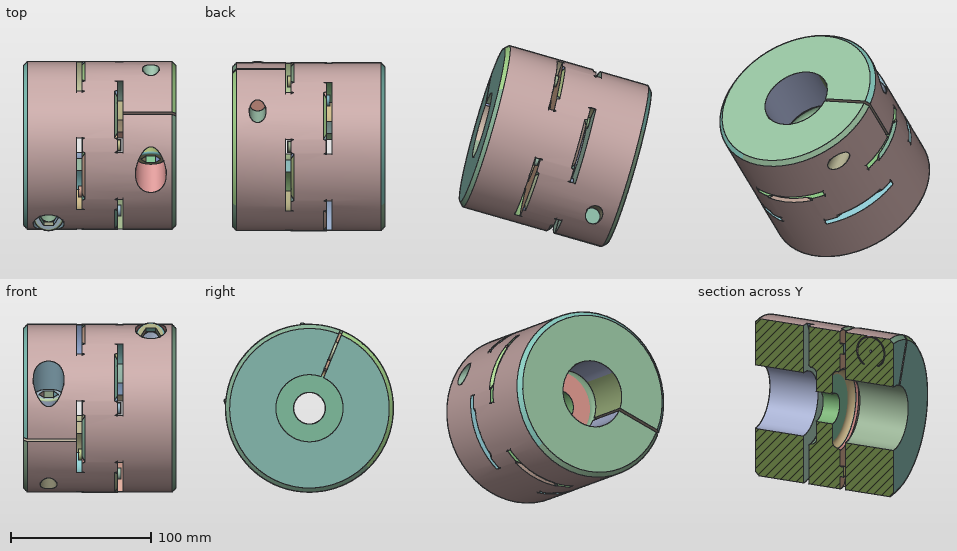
import cadquery as cq
import math


LENGTH = 109.0
RADIUS = 60.0
END_CHAMFER = 3.0
HUB_LENGTH = 38.0
HUB_BORE = 48.0
GAP = 4.0

DISC_BORE = 22.5
RECESS_DIAMETER = 58.0
RECESS_DEPTH = 6.0
RECESS_FILLET = 4.0
RECESS_CHAMFER = 1.5

PIN_DIAMETER = 8.0
PIN_HEIGHT = 2.6
PIN_CIRCLE_RADIUS = 46.6
PIN_PITCH = 90.0

LUG_PITCH = 90.0
LUG_INNER_RADIUS = 36.3
LUG_SEAT_DEPTH = 2.0
SCALLOP_RADIUS = 28.4
SCALLOP_CENTRE_RADIUS = PIN_CIRCLE_RADIUS

LAND_PITCH = 45.0
LAND_HALF_WIDTH = 4.1
LAND_FLANK_RUN = 1.7
LAND_TAPER = 12.0

SLIT_WIDTH = 2.0
SCREW_OFFSET = 44.0
SCREW_FROM_END = 18.0
SHANK_DIAMETER = 14.0
CLEARANCE_DIAMETER = 15.0
COUNTERBORE_DIAMETER = 22.0
HEAD_DIAMETER = 21.0
HEAD_HEIGHT = 14.0
HEAD_FILLET = 1.4
HEAD_SEAT = 15.0
SOCKET_FLATS = 12.0
SOCKET_CORNERS = SOCKET_FLATS / math.cos(math.radians(30))
SOCKET_DEPTH = 7.0
SOCKET_TIP_SLOPE = 30.0
TAP_DIAMETER = 12.0
SHANK_TIP = 25.0

LEFT_LUG_ANGLE = 22.5
RIGHT_LUG_ANGLE = 67.5
LEFT_PIN_ANGLE = 45.0
RIGHT_PIN_ANGLE = 0.0
LEFT_SLIT_ANGLE = -22.5
RIGHT_SLIT_ANGLE = 112.5

OUTER_SEAM_ANGLE = -135.0
BORE_SEAM_ANGLE = 45.0

LEFT_END = -LENGTH / 2
LEFT_HUB_FACE = LEFT_END + HUB_LENGTH
DISC_FACE = LEFT_HUB_FACE + GAP
CUT_REACH = 2 * RADIUS


def radial(angle):
    """Unit vector pointing outward at an angle around the axis."""
    turn = math.radians(angle)
    return cq.Vector(0, -math.cos(turn), math.sin(turn))


def section(x, angle=0.0):
    """Workplane across the axis at x; its local x points outward at the angle."""
    return cq.Workplane(cq.Plane((x, 0, 0), radial(angle), (-1, 0, 0)))


def other_end(body):
    """Mirror a body from the -X half to the +X half."""
    return body.mirror("YZ")


def repeated(start, pitch):
    """Angles around the full circle at an even pitch."""
    return [start + pitch * step for step in range(round(360 / pitch))]


def blank():
    """Solid chamfered cylinder bored from both ends, with a smaller bore through the middle."""
    body = section(LEFT_END, OUTER_SEAM_ANGLE).circle(RADIUS).extrude(-LENGTH)
    body = body.faces("<X or >X").chamfer(END_CHAMFER)
    bore = section(LEFT_END, BORE_SEAM_ANGLE).circle(HUB_BORE / 2).extrude(-(HUB_LENGTH + GAP))
    through = section(LEFT_END, BORE_SEAM_ANGLE).circle(DISC_BORE / 2).extrude(-LENGTH)
    return body.cut(bore).cut(other_end(bore)).cut(through)


def lugs(start):
    """Four lugs left between round scallops, reaching from the hub into the disc."""
    height = GAP + LUG_SEAT_DEPTH
    ring = section(LEFT_HUB_FACE).circle(CUT_REACH).circle(LUG_INNER_RADIUS).extrude(-height)
    for angle in repeated(start + LUG_PITCH / 2, LUG_PITCH):
        scallop = (
            section(LEFT_HUB_FACE, angle)
            .center(SCALLOP_CENTRE_RADIUS, 0)
            .circle(SCALLOP_RADIUS)
            .extrude(-height)
        )
        ring = ring.cut(scallop)
    return ring


def edge_bevel():
    """Ring that bevels the disc rim at 45 degrees, less the eight lands."""
    rim_radius = RADIUS - LUG_SEAT_DEPTH
    outer = RADIUS + LUG_SEAT_DEPTH
    bevel = (
        cq.Workplane("XY")
        .moveTo(DISC_FACE, rim_radius)
        .lineTo(DISC_FACE + LUG_SEAT_DEPTH, RADIUS)
        .lineTo(DISC_FACE + LUG_SEAT_DEPTH, outer)
        .lineTo(DISC_FACE, outer)
        .close()
        .revolve(360, (0, 0, 0), (1, 0, 0))
    )
    inner = rim_radius - LUG_SEAT_DEPTH
    inner_half = LAND_HALF_WIDTH + LAND_FLANK_RUN * (RADIUS - inner)
    outer_half = LAND_HALF_WIDTH - LAND_FLANK_RUN * (outer - RADIUS)
    for angle in repeated(0.0, LAND_PITCH):
        land = (
            section(DISC_FACE, angle)
            .polyline([(inner, -inner_half), (inner, inner_half), (outer, outer_half), (outer, -outer_half)])
            .close()
            .extrude(-LUG_SEAT_DEPTH, taper=-LAND_TAPER)
        )
        bevel = bevel.cut(land)
    return bevel


def disc_recess():
    """Round recess in the disc face with a rounded floor corner and bevelled mouth."""
    wall_radius = RECESS_DIAMETER / 2
    recess = section(DISC_FACE).circle(wall_radius).extrude(-RECESS_DEPTH)
    recess = recess.faces(">X").edges().fillet(RECESS_FILLET)
    mouth = section(DISC_FACE).circle(wall_radius + RECESS_CHAMFER).extrude(-RECESS_CHAMFER, taper=45)
    return recess.union(mouth)


def pins(start):
    """Four round pins standing on the disc face."""
    group = cq.Workplane("XY")
    for angle in repeated(start, PIN_PITCH):
        pin = section(DISC_FACE, angle).center(PIN_CIRCLE_RADIUS, 0).circle(PIN_DIAMETER / 2)
        group = group.add(pin.extrude(PIN_HEIGHT))
    return group.combine()


def gap_space(lug_angle):
    """Everything removed between a hub and the disc, leaving the lugs standing."""
    gap = section(LEFT_HUB_FACE, OUTER_SEAM_ANGLE).circle(CUT_REACH).extrude(-GAP)
    return gap.union(edge_bevel()).cut(lugs(lug_angle)).union(disc_recess())


def clamped(body, slit_angle, head_side):
    """Slit a hub and add its screw; head_side is +1 or -1 in the sense of rising angle."""
    outward = radial(slit_angle)
    head_way = radial(slit_angle + 90 * head_side)
    origin = outward * SCREW_OFFSET + cq.Vector(LEFT_END + SCREW_FROM_END, 0, 0)

    def across(height):
        """Workplane square to the screw, height measured from the slit towards the head."""
        return cq.Workplane(cq.Plane(origin + head_way * height, (1, 0, 0), head_way))

    slit = section(LEFT_END, slit_angle).center(RADIUS, 0).rect(CUT_REACH, SLIT_WIDTH).extrude(-HUB_LENGTH)
    clearance = across(0).circle(CLEARANCE_DIAMETER / 2).extrude(HEAD_SEAT)
    counterbore = across(HEAD_SEAT).circle(COUNTERBORE_DIAMETER / 2).extrude(RADIUS)
    tap = across(-SHANK_TIP).circle(TAP_DIAMETER / 2).extrude(-RADIUS)
    body = body.cut(slit).cut(clearance).cut(counterbore).cut(tap)

    shank = across(-SHANK_TIP).circle(SHANK_DIAMETER / 2).extrude(SHANK_TIP + HEAD_SEAT)
    head_top = HEAD_SEAT + HEAD_HEIGHT
    head = across(HEAD_SEAT).circle(HEAD_DIAMETER / 2).extrude(HEAD_HEIGHT)
    head = head.faces(cq.selectors.DirectionMinMaxSelector(head_way)).edges().fillet(HEAD_FILLET)
    socket = across(head_top).polygon(6, SOCKET_CORNERS).extrude(-SOCKET_DEPTH)
    tip_radius = SOCKET_FLATS / 2
    tip_height = tip_radius * math.tan(math.radians(SOCKET_TIP_SLOPE))
    tip = cq.Workplane(
        cq.Solid.makeCone(tip_radius, 0, tip_height, across(head_top - SOCKET_DEPTH).plane.origin, -head_way)
    )
    screw = head.union(shank).cut(socket).cut(tip)
    return body.union(screw)


coupling = blank()
coupling = coupling.cut(gap_space(LEFT_LUG_ANGLE))
coupling = coupling.cut(other_end(gap_space(RIGHT_LUG_ANGLE)))
coupling = coupling.union(pins(LEFT_PIN_ANGLE))
coupling = coupling.union(other_end(pins(RIGHT_PIN_ANGLE)))
coupling = clamped(coupling, LEFT_SLIT_ANGLE, 1)
result = other_end(clamped(other_end(coupling), RIGHT_SLIT_ANGLE, -1))